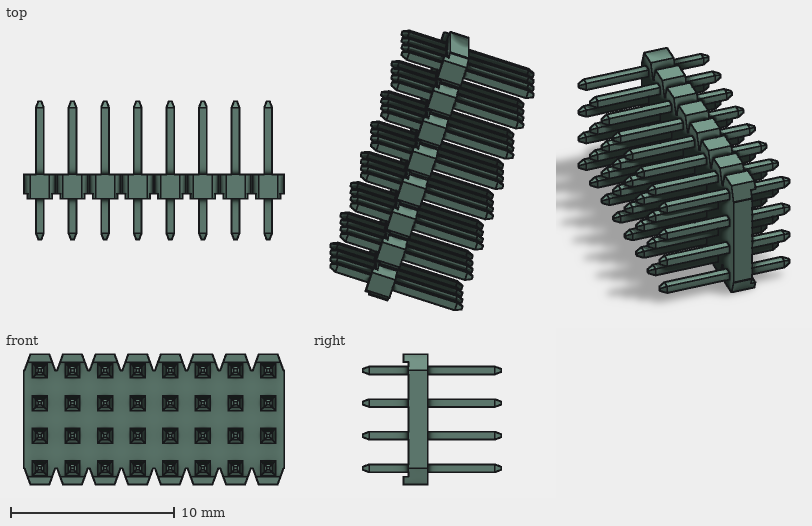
import cadquery as cq

pitch = 2.0
columns = 8
rows = 4

length = columns * pitch
height = rows * pitch
plate_thickness = 1.2
lip_reach = 1.5
lip_height = 0.5

notch_depth = 1.0
tooth_tip_width = 1.17
notch_floor_width = 0.11

pin_width = 0.5
pin_front_length = 2.5
pin_back_length = 4.5
taper_length = 0.4
taper_tip_width = 0.2

pocket_width = 0.91
pocket_depth = (pocket_width - pin_width) / 2

column_positions = [(i - (columns - 1) / 2) * pitch for i in range(columns)]
row_positions = [(i - (rows - 1) / 2) * pitch for i in range(rows)]
pin_positions = [(x, z) for x in column_positions for z in row_positions]


def frustum(y_start, start_width, y_end, end_width):
    """Square frustum along Y, centred on the Y axis."""
    return (
        cq.Workplane("XZ", origin=(0, y_start, 0))
        .rect(start_width, start_width)
        .workplane(offset=y_start - y_end)
        .rect(end_width, end_width)
        .loft(ruled=True)
    )


def toothed_outline():
    """Front outline of the housing, going round from the upper left corner."""
    notch_floor = height / 2 - notch_depth
    half_tip = tooth_tip_width / 2
    half_root = (pitch - notch_floor_width) / 2
    upper = [(-length / 2, notch_floor)]
    for x in column_positions:
        upper += [
            (x - half_root, notch_floor),
            (x - half_tip, height / 2),
            (x + half_tip, height / 2),
            (x + half_root, notch_floor),
        ]
    upper.append((length / 2, notch_floor))
    lower = [(x, -z) for x, z in reversed(upper)]
    return upper + lower


def make_housing():
    """Toothed plate with a lip projecting forward along its top and bottom edges."""
    body = cq.Workplane("XZ").polyline(toothed_outline()).close().extrude(lip_reach)
    recess = (
        cq.Workplane("XZ", origin=(0, -plate_thickness, 0))
        .rect(length, height - 2 * lip_height)
        .extrude(lip_reach - plate_thickness)
    )
    return body.cut(recess)


def make_pocket():
    """Pocket that narrows from the plate's front face down to the pin."""
    return frustum(-plate_thickness, pocket_width, pocket_depth - plate_thickness, pin_width)


def make_pin():
    """Straight pin through the housing, tapered at both ends."""
    front_end = -lip_reach - pin_front_length
    back_end = pin_back_length
    front_shoulder = front_end + taper_length
    back_shoulder = back_end - taper_length
    shaft = frustum(back_shoulder, pin_width, front_shoulder, pin_width)
    front_taper = frustum(front_shoulder, pin_width, front_end, taper_tip_width)
    back_taper = frustum(back_end, taper_tip_width, back_shoulder, pin_width)
    return shaft.union(front_taper).union(back_taper)


def at_pin_positions(shape):
    """Copies of a shape at every place of the pin grid."""
    solid = shape.val()
    copies = [solid.translate(cq.Vector(x, 0, z)) for x, z in pin_positions]
    return cq.Workplane(cq.Compound.makeCompound(copies))


result = (
    make_housing()
    .cut(at_pin_positions(make_pocket()))
    .union(at_pin_positions(make_pin()))
)